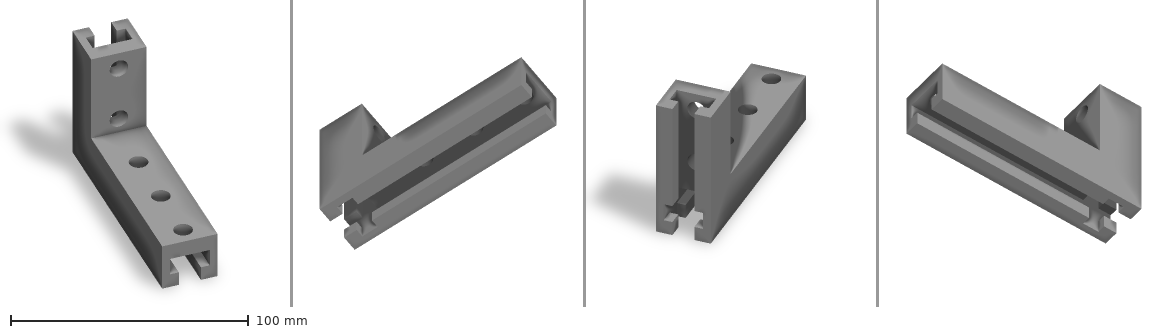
import cadquery as cq

length = 105.0
width = 25.0
height = 63.0
leg_thickness = 21.9

lip_depth = 6.5
channel_depth = 8.0
slot_depth = lip_depth + channel_depth
mouth_width = 10.0
channel_width = 18.0

hole_diameter = 8.3
hole_pitch = 26.0
hole_end_distance = 8.0
long_leg_holes = 3
short_leg_holes = 2


def box(x_range, y_width, z_range):
    """Box between two X and two Z limits, centred on the Y = 0 plane."""
    x_size = x_range[1] - x_range[0]
    z_size = z_range[1] - z_range[0]
    block = cq.Workplane("XY").box(x_size, y_width, z_size, centered=(False, True, False))
    return block.translate((x_range[0], 0, z_range[0]))


def make_body():
    long_leg = box((0, length), width, (0, leg_thickness))
    short_leg = box((0, leg_thickness), width, (0, height))
    return long_leg.union(short_leg)


def make_long_slot():
    """T-slot open to the underside, running the full length along X."""
    mouth = box((0, length), mouth_width, (0, slot_depth))
    channel = box((0, length), channel_width, (lip_depth, slot_depth))
    return mouth.union(channel)


def make_short_slot():
    """T-slot open to the outer end face, running the full height along Z."""
    mouth = box((0, slot_depth), mouth_width, (0, height))
    channel = box((lip_depth, slot_depth), channel_width, (0, height))
    return mouth.union(channel)


def hole_positions(leg_length, count):
    """Hole centres along a leg, counted back from its free end."""
    return [leg_length - hole_end_distance - i * hole_pitch for i in range(count)]


def make_long_leg_holes():
    centres = [(x, 0) for x in hole_positions(length, long_leg_holes)]
    return cq.Workplane("XY").pushPoints(centres).circle(hole_diameter / 2).extrude(leg_thickness)


def make_short_leg_holes():
    centres = [(0, z) for z in hole_positions(height, short_leg_holes)]
    return cq.Workplane("YZ").pushPoints(centres).circle(hole_diameter / 2).extrude(leg_thickness)


result = (
    make_body()
    .cut(make_long_slot())
    .cut(make_short_slot())
    .cut(make_long_leg_holes())
    .cut(make_short_leg_holes())
)